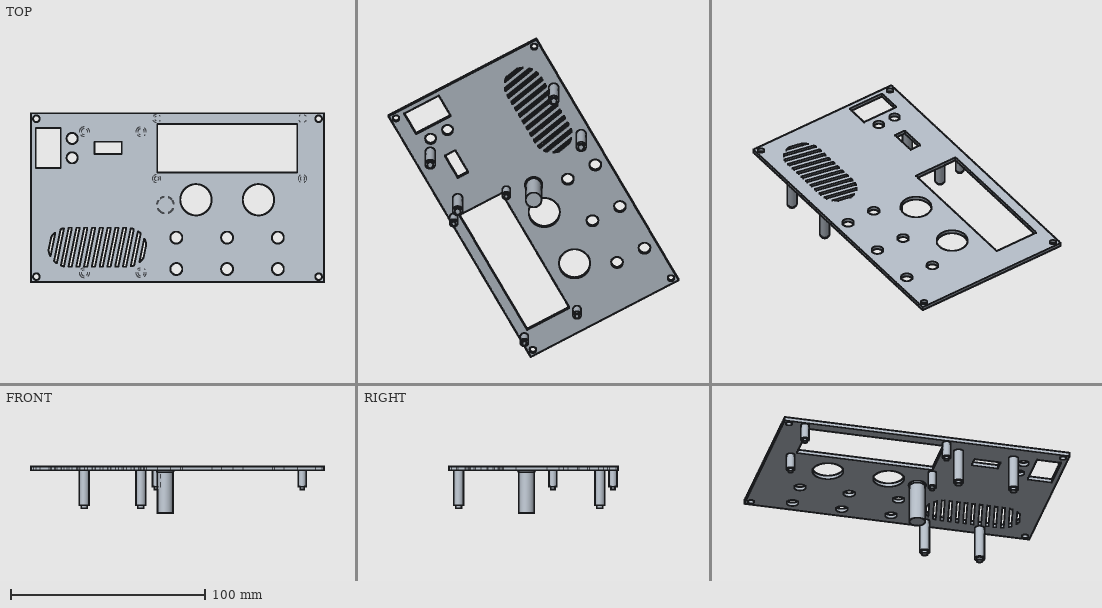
import cadquery as cq
import math


plate_length = 151.0
plate_width = 87.0
plate_thickness = 2.1
total_height = 24.0

screw_hole_diameter = 3.3
screw_hole_inset = 2.9

display_left, display_bottom = 65.1, 56.5
display_length, display_width = 72.0, 24.9
switch_opening = (2.5, 58.9, 12.8, 20.4)
port_opening = (32.9, 66.0, 13.9, 6.2)

lamp_diameter = 5.6
lamp_x = 21.3
lamp_rows = (64.0, 74.0)
knob_diameter = 16.0
knob_columns = (85.0, 117.2)
knob_y = 42.5
button_diameter = 6.0
button_first_x, button_first_y = 74.9, 6.8
button_pitch_x, button_pitch_y = 26.1, 16.2
button_column_count, button_row_count = 3, 2

grille_x, grille_y = 34.3, 18.0
grille_length = 50.5
grille_width = 20.0
slot_count = 13
slot_row_length = 48.0
slot_pitch = slot_row_length / (slot_count - 1)
slot_width = 1.5
slot_slant = 11.6

tip_length = 1.5
board_post_diameter = 5.1
board_post_tip_diameter = 3.2
board_post_length = 18.0
board_post_columns = (27.5, 56.6)
board_post_rows = (5.0, 77.6)
display_post_diameter = 4.2
display_post_tip_diameter = 2.3
display_post_length = 8.3
display_post_columns = (64.6, 139.7)
display_post_rows = (53.5, 84.4)

thick_post_x, thick_post_y = 69.2, 39.9
thick_post_diameter = 8.2
flare_diameter = 9.0
flare_height = 0.9


def grid(columns, rows):
    return [(x, y) for x in columns for y in rows]


def through_holes(points, diameter):
    return cq.Workplane("XY").pushPoints(points).circle(diameter / 2).extrude(-plate_thickness)


def opening(left, bottom, length, width):
    return cq.Workplane("XY").box(length, width, plate_thickness, centered=False).translate(
        (left, bottom, -plate_thickness)
    )


def grille():
    outline = cq.Workplane("XY").slot2D(grille_length, grille_width).extrude(-plate_thickness)
    slot_horizontal_width = slot_width / math.cos(math.radians(slot_slant))
    half_run = grille_width / 2 * math.tan(math.radians(slot_slant))
    half_width = slot_horizontal_width / 2
    slot = (
        cq.Workplane("XY")
        .moveTo(-half_run - half_width, -grille_width / 2)
        .lineTo(-half_run + half_width, -grille_width / 2)
        .lineTo(half_run + half_width, grille_width / 2)
        .lineTo(half_run - half_width, grille_width / 2)
        .close()
        .extrude(-plate_thickness)
    )
    slots = cq.Workplane("XY")
    for index in range(slot_count):
        offset = (index - (slot_count - 1) / 2) * slot_pitch
        slots = slots.add(slot.translate((offset, 0, 0)))
    return slots.combine().intersect(outline).translate((grille_x, grille_y, 0))


def stepped_posts(points, diameter, tip_diameter, length):
    underside = cq.Workplane("XY", origin=(0, 0, -plate_thickness)).pushPoints(points)
    shafts = underside.circle(diameter / 2).extrude(-length)
    tips = underside.circle(tip_diameter / 2).extrude(-length - tip_length)
    return shafts.union(tips)


def thick_post():
    root = -plate_thickness
    return (
        cq.Workplane("XZ")
        .moveTo(0, root)
        .lineTo(flare_diameter / 2, root)
        .lineTo(thick_post_diameter / 2, root - flare_height)
        .lineTo(thick_post_diameter / 2, -total_height)
        .lineTo(0, -total_height)
        .close()
        .revolve(360, (0, 0), (0, 1))
        .translate((thick_post_x, thick_post_y, 0))
    )


screw_holes = grid(
    (screw_hole_inset, plate_length - screw_hole_inset),
    (screw_hole_inset, plate_width - screw_hole_inset),
)
buttons = grid(
    [button_first_x + column * button_pitch_x for column in range(button_column_count)],
    [button_first_y + row * button_pitch_y for row in range(button_row_count)],
)
board_posts = grid(board_post_columns, board_post_rows)
display_posts = grid(display_post_columns, display_post_rows)

plate = opening(0, 0, plate_length, plate_width)
plate = plate.cut(through_holes(screw_holes, screw_hole_diameter))
plate = plate.cut(opening(display_left, display_bottom, display_length, display_width))
plate = plate.cut(opening(*switch_opening))
plate = plate.cut(opening(*port_opening))
plate = plate.cut(through_holes(grid((lamp_x,), lamp_rows), lamp_diameter))
plate = plate.cut(through_holes(grid(knob_columns, (knob_y,)), knob_diameter))
plate = plate.cut(through_holes(buttons, button_diameter))
plate = plate.cut(grille())

board_post_group = stepped_posts(
    board_posts, board_post_diameter, board_post_tip_diameter, board_post_length
)
display_post_group = stepped_posts(
    display_posts, display_post_diameter, display_post_tip_diameter, display_post_length
)

result = plate.union(board_post_group).union(display_post_group).union(thick_post())